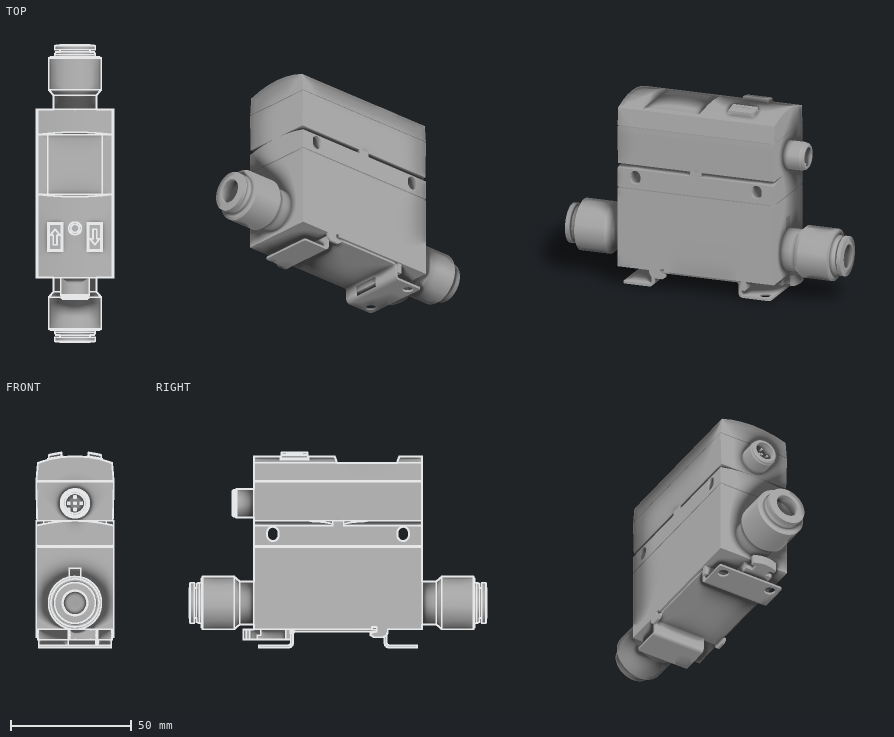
import cadquery as cq
import math


housing_length = 70.0
half_length = housing_length / 2
half_width = 16.15
lower_edge_z = 43.2
lower_top_z = 45.2
upper_half_width = 15.78
widest_bottom_z = 59.3
widest_top_z = 61.4
shoulder_z = 69.3
shoulder_half_width = 15.5
crown_top_z = 72.0
seam_z = 34.3
seam_height = 0.6
cover_seam_height = 0.4
seam_depth = 0.2

spacer_y = 0.1
spacer_length = 4.7
flare_start_x = 13.0
flare_middle = (9.3, 5.7)
flare_end = (5.6, 11.8)

slot_y = 27.1
slot_z = 39.7
slot_width = 4.7
slot_height = 5.8

display_floor_z = shoulder_z
display_back_y = 24.5
display_front_y = -0.4
display_slope_run = 1.0
display_width = 22.8
display_inset = 0.1

button_x = 8.3
button_y = -18.1
button_width = 5.5
button_length = 11.1
button_rise = 2.0
button_rim = 0.2
button_lip = 0.4
arrow_length = 6.4
arrow_head_width = 4.0
arrow_head_length = 2.5
arrow_shaft_width = 1.6
mark_depth = 0.2
cutter_height = 1.2
status_ring_y = -14.5
status_ring_outer = 5.2
status_ring_inner = 3.5

fitting_z = 11.0
neck_diameter = 18.0
fitting_diameter = 22.0
fitting_mouth_diameter = 20.0
release_diameter = 17.0
sleeve_diameter = 12.6
tube_diameter = 10.5
fitting_end_y = 61.9
cone_start_y = 40.9
barrel_start_y = 43.2
barrel_end_y = 56.8
collar_rounding_y = 57.8
collar_end_y = 58.9
flange_start_y = 59.8
flange_edge_y = 61.5
collar_rounding = 0.5
tube_depth = 5.2
tube_mouth_chamfer = 0.2

label_width = 5.0
label_top_z = 25.4
label_bottom_z = 19.8

plug_z = 52.5
plug_diameter = 12.0
plug_groove_diameter = 11.3
plug_mouth_diameter = 10.0
plug_bore = 8.3
plug_end_y = -44.0
plug_shoulder_y = -42.1
plug_neck_y = -42.8
plug_bore_depth = 7.4
contact_diameter = 1.0
contact_length = 5.0
contact_pitch = 2.6

sheet = 1.0
foot_half_length = 32.9
bracket_half_width = 15.1
foot_bottom_z = -7.5
leg_back_y = 20.3
leg_front_y = -19.7
bend_inner_radius = 1.0
foot_corner_radius = 0.9
tongue_left_x = -2.8
tongue_right_x = 9.5
back_leg_right_x = 8.8
foot_hole_x = 11.3
foot_hole_y = 29.2
foot_hole_diameter = 4.6
pick_margin = 0.1

hook_bottom_z = -3.3
hook_back_y = 20.8
hook_tip_y = 13.5
hook_root_z = 0.6
throat_back_y = 16.1
throat_front_y = 14.2
throat_depth = 1.0

clip_bottom_z = -4.2
clip_half_width = 15.5
clip_bar_front_y = -21.7
neck_start_y = -32.2
neck_end_y = -36.6
finger_side_y = -38.3
finger_tip_y = -39.5
finger_narrowing = 0.7
clip_neck_inset = 3.0
stop_length = 1.5
stop_height = 1.9


def box(x0, x1, y0, y1, z0, z1):
    """Axis-aligned block between two opposite corners."""
    return cq.Workplane("XY").box(x1 - x0, y1 - y0, z1 - z0, centered=False).translate((x0, y0, z0))


def along_y(profile, length):
    """Extrude a closed XZ profile symmetrically about its plane."""
    return profile.extrude(length / 2, both=True)


def seam_groove(half_size, bottom_z, height):
    """Shallow groove running around the housing."""
    top_z = bottom_z + height
    outer = box(-half_size - 1.2, half_size + 1.2, -half_length - 1.2, half_length + 1.2, bottom_z, top_z)
    inner_x = half_size - seam_depth
    inner_y = half_length - seam_depth
    return outer.cut(box(-inner_x, inner_x, -inner_y, inner_y, bottom_z, top_z))


def crown_height(x):
    """Height of the crowned cover at a distance x from the middle."""
    rise = crown_top_z - shoulder_z
    radius = (shoulder_half_width**2 + rise**2) / (2 * rise)
    return crown_top_z - radius + math.sqrt(radius**2 - x**2)


def make_spacer():
    """Bridge between the lower and upper blocks that flares out towards the middle."""
    half = spacer_length / 2
    spacer = (
        cq.Workplane("XY", origin=(0, spacer_y, seam_z + seam_height))
        .moveTo(half_width, -half)
        .lineTo(half_width, half)
        .lineTo(flare_start_x, half)
        .threePointArc(flare_middle, flare_end)
        .lineTo(-flare_end[0], flare_end[1])
        .threePointArc((-flare_middle[0], flare_middle[1]), (-flare_start_x, half))
        .lineTo(-half_width, half)
        .lineTo(-half_width, -half)
        .lineTo(-flare_start_x, -half)
        .threePointArc((-flare_middle[0], -flare_middle[1]), (-flare_end[0], -flare_end[1]))
        .lineTo(flare_end[0], -flare_end[1])
        .threePointArc((flare_middle[0], -flare_middle[1]), (flare_start_x, -half))
        .close()
    )
    return spacer.extrude(lower_top_z - seam_z - seam_height)


def make_lower_block():
    """Lower block with a crowned top, the spacer and the mounting slots."""
    profile = (
        cq.Workplane("XZ")
        .moveTo(-half_width, 0)
        .lineTo(half_width, 0)
        .lineTo(half_width, lower_edge_z)
        .threePointArc((0, lower_top_z), (-half_width, lower_edge_z))
        .close()
    )
    block = along_y(profile, housing_length).union(make_spacer())
    slots = (
        cq.Workplane("YZ")
        .pushPoints([(-slot_y, slot_z), (slot_y, slot_z)])
        .slot2D(slot_height, slot_width, 90)
        .extrude(half_width, both=True)
    )
    return block.cut(slots).cut(seam_groove(half_width, seam_z, seam_height))


def make_upper_block():
    """Upper block with tapered sides and a crowned cover."""
    profile = (
        cq.Workplane("XZ")
        .moveTo(-upper_half_width, lower_top_z)
        .lineTo(upper_half_width, lower_top_z)
        .lineTo(half_width, widest_bottom_z)
        .lineTo(half_width, widest_top_z)
        .lineTo(shoulder_half_width, shoulder_z)
        .threePointArc((0, crown_top_z), (-shoulder_half_width, shoulder_z))
        .lineTo(-half_width, widest_top_z)
        .lineTo(-half_width, widest_bottom_z)
        .close()
    )
    block = along_y(profile, housing_length)
    return block.cut(seam_groove(half_width, widest_top_z, cover_seam_height))


def make_display_recess():
    """Recess across the crown with sloped ends, and the display window in its floor."""
    recess = (
        cq.Workplane("YZ")
        .moveTo(display_front_y, display_floor_z)
        .lineTo(display_back_y, display_floor_z)
        .lineTo(display_back_y + display_slope_run, crown_top_z)
        .lineTo(display_front_y - display_slope_run, crown_top_z)
        .close()
        .extrude(half_width, both=True)
    )
    window = box(
        -display_width / 2, display_width / 2,
        display_front_y, display_back_y,
        display_floor_z - display_inset, display_floor_z,
    )
    return recess.union(window)


def sloped_block(side, inner_x, outer_x, inner_z, outer_z, length):
    """Block on one side of the crown, with a top that slopes down outwards."""
    profile = (
        cq.Workplane("XZ", origin=(0, button_y, 0))
        .moveTo(side * inner_x, display_floor_z)
        .lineTo(side * outer_x, display_floor_z)
        .lineTo(side * outer_x, outer_z)
        .lineTo(side * inner_x, inner_z)
        .close()
    )
    return along_y(profile, length)


def make_arrow(forward):
    """Arrow-shaped cutter pointing along +Y or -Y."""
    tail_y = -forward * arrow_length / 2
    neck_y = forward * (arrow_length / 2 - arrow_head_length)
    return (
        cq.Workplane("XY")
        .moveTo(-arrow_shaft_width / 2, tail_y)
        .lineTo(arrow_shaft_width / 2, tail_y)
        .lineTo(arrow_shaft_width / 2, neck_y)
        .lineTo(arrow_head_width / 2, neck_y)
        .lineTo(0, forward * arrow_length / 2)
        .lineTo(-arrow_head_width / 2, neck_y)
        .lineTo(-arrow_shaft_width / 2, neck_y)
        .close()
        .extrude(cutter_height)
    )


def make_button(side):
    """Button that follows the crown; its arrow points to +Y on the left and to -Y on the right."""
    inner_x = button_x - button_width / 2
    outer_x = button_x + button_width / 2
    inner_z = crown_height(inner_x) + button_rise
    outer_z = crown_height(outer_x) + button_rise
    button = sloped_block(side, inner_x, outer_x, inner_z, outer_z, button_length)
    button = button.faces(">Z").chamfer(button_rim)
    lip_drop = button_rise - button_lip
    lip = sloped_block(
        side,
        inner_x - button_lip, outer_x + button_lip,
        inner_z - lip_drop, outer_z - lip_drop,
        button_length + 2 * button_lip,
    )
    tilt = math.degrees(math.atan2(inner_z - outer_z, button_width))
    middle_z = (inner_z + outer_z) / 2
    arrow = make_arrow(-side).translate((0, 0, -mark_depth)).rotate((0, 0, 0), (0, 1, 0), side * tilt)
    return button.union(lip).cut(arrow.translate((side * button_x, button_y, middle_z)))


def make_status_ring():
    """Ring-shaped cutter for the groove around the status light."""
    return (
        cq.Workplane("XY", origin=(0, status_ring_y, crown_top_z - mark_depth))
        .circle(status_ring_outer / 2)
        .circle(status_ring_inner / 2)
        .extrude(cutter_height)
    )


def make_fitting():
    """Push-in fitting on the back (+Y) end, turned about its own axis."""
    mouth_chamfer = (fitting_diameter - fitting_mouth_diameter) / 2
    bore_radius = tube_diameter / 2 - tube_mouth_chamfer
    outline = (
        cq.Workplane("XY")
        .moveTo(0, half_length - seam_depth)
        .lineTo(neck_diameter / 2, half_length - seam_depth)
        .lineTo(neck_diameter / 2, cone_start_y)
        .lineTo(fitting_diameter / 2, barrel_start_y)
        .lineTo(fitting_diameter / 2, barrel_end_y - mouth_chamfer / 2)
        .lineTo(fitting_mouth_diameter / 2, barrel_end_y)
        .lineTo(release_diameter / 2, barrel_end_y)
        .lineTo(release_diameter / 2, collar_rounding_y)
        .lineTo(release_diameter / 2 - collar_rounding, collar_end_y)
        .lineTo(sleeve_diameter / 2, collar_end_y)
        .lineTo(sleeve_diameter / 2, flange_start_y)
        .lineTo(release_diameter / 2, flange_start_y)
        .lineTo(release_diameter / 2, flange_edge_y)
        .lineTo(tube_diameter / 2, fitting_end_y)
        .lineTo(bore_radius, fitting_end_y - tube_mouth_chamfer)
        .lineTo(bore_radius, fitting_end_y - tube_depth)
        .lineTo(0, fitting_end_y - tube_depth)
        .close()
    )
    return outline.revolve(360, (0, 0, 0), (0, 1, 0)).translate((0, 0, fitting_z))


def make_plug():
    """Connector barrel on the front face, with five contacts and a key on its bore floor."""
    rim_step = (plug_groove_diameter - plug_mouth_diameter) / 2
    floor_y = plug_end_y + plug_bore_depth
    barrel = (
        cq.Workplane("XY")
        .moveTo(0, -half_length + seam_depth)
        .lineTo(plug_diameter / 2, -half_length + seam_depth)
        .lineTo(plug_diameter / 2, plug_shoulder_y)
        .lineTo(plug_groove_diameter / 2, plug_neck_y)
        .lineTo(plug_groove_diameter / 2, plug_end_y + rim_step)
        .lineTo(plug_mouth_diameter / 2, plug_end_y)
        .lineTo(plug_bore / 2, plug_end_y)
        .lineTo(plug_bore / 2, floor_y)
        .lineTo(0, floor_y)
        .close()
        .revolve(360, (0, 0, 0), (0, 1, 0))
    )
    p = contact_pitch
    contacts = (
        cq.Workplane("XZ", origin=(0, floor_y, 0))
        .pushPoints([(0, 0), (p, 0), (-p, 0), (0, p), (0, -p)])
        .circle(contact_diameter / 2)
        .extrude(contact_length)
    )
    key = (
        cq.Workplane("XZ", origin=(0, floor_y, 0))
        .center(-p, -p)
        .circle(contact_diameter / 2)
        .extrude(plug_bore_depth)
    )
    return barrel.union(contacts).union(key).translate((0, 0, plug_z))


def make_hook(side):
    """Hook outside one edge of the bracket plate."""
    hook = (
        cq.Workplane("YZ", origin=(side * bracket_half_width, 0, 0))
        .moveTo(hook_back_y, hook_root_z)
        .lineTo(hook_back_y, -1.0)
        .threePointArc((20.0, -2.5), (18.8, hook_bottom_z))
        .lineTo(15.0, hook_bottom_z)
        .lineTo(hook_tip_y, -2.4)
        .lineTo(hook_tip_y, -1.4)
        .lineTo(throat_back_y - 0.4, -sheet)
        .lineTo(throat_back_y, -0.6)
        .lineTo(throat_back_y, hook_root_z)
        .close()
    )
    return hook.extrude(side * (half_width - bracket_half_width))


def make_housing():
    """Sensor housing with its fittings, connector, buttons and hooks."""
    throat = box(-half_width, half_width, throat_front_y, throat_back_y, 0, throat_depth)
    label = box(
        -label_width / 2, label_width / 2,
        -half_length, -half_length + seam_depth,
        label_bottom_z, label_top_z,
    )
    body = make_lower_block().union(make_upper_block())
    body = body.cut(make_display_recess()).cut(make_status_ring()).cut(label).cut(throat)
    fitting = make_fitting()
    body = body.union(fitting).union(fitting.mirror("XZ")).union(make_plug())
    for side in (-1, 1):
        body = body.union(make_button(side)).union(make_hook(side))
    return body


def round_bends(sheet_body, corners, radius):
    """Fillet the bend edges that run along X through the given (y, z) corners."""
    for y, z in corners:
        low = (-half_width, y - pick_margin, z - pick_margin)
        high = (half_width, y + pick_margin, z + pick_margin)
        sheet_body = sheet_body.edges(cq.selectors.BoxSelector(low, high)).fillet(radius)
    return sheet_body


def make_bracket():
    """Hat-shaped sheet with a slotted front leg and a narrower back leg."""
    foot_top_z = foot_bottom_z + sheet
    front_inside_y = leg_front_y + sheet
    back_inside_y = leg_back_y - sheet
    body = (
        cq.Workplane("YZ")
        .moveTo(leg_front_y, 0)
        .lineTo(leg_back_y, 0)
        .lineTo(leg_back_y, foot_top_z)
        .lineTo(foot_half_length, foot_top_z)
        .lineTo(foot_half_length, foot_bottom_z)
        .lineTo(back_inside_y, foot_bottom_z)
        .lineTo(back_inside_y, -sheet)
        .lineTo(front_inside_y, -sheet)
        .lineTo(front_inside_y, foot_bottom_z)
        .lineTo(-foot_half_length, foot_bottom_z)
        .lineTo(-foot_half_length, foot_top_z)
        .lineTo(leg_front_y, foot_top_z)
        .close()
        .extrude(bracket_half_width, both=True)
    )
    inner_corners = [
        (front_inside_y, -sheet), (back_inside_y, -sheet),
        (leg_front_y, foot_top_z), (leg_back_y, foot_top_z),
    ]
    outer_corners = [
        (leg_front_y, 0), (leg_back_y, 0),
        (front_inside_y, foot_bottom_z), (back_inside_y, foot_bottom_z),
    ]
    body = round_bends(body, inner_corners, bend_inner_radius)
    body = round_bends(body, outer_corners, bend_inner_radius + sheet)
    tongue_slot = box(
        tongue_left_x, tongue_right_x,
        leg_front_y - bend_inner_radius, front_inside_y,
        foot_top_z, 0,
    )
    back_cut = box(
        back_leg_right_x, bracket_half_width,
        leg_back_y - 2.5, foot_half_length,
        foot_bottom_z, -sheet,
    )
    holes = (
        cq.Workplane("XY", origin=(0, 0, foot_bottom_z))
        .pushPoints([(-foot_hole_x, -foot_hole_y), (foot_hole_x, -foot_hole_y)])
        .circle(foot_hole_diameter / 2)
        .extrude(sheet)
    )
    body = body.cut(tongue_slot).cut(back_cut).cut(holes)
    return body.edges("|Z").edges("<Y or >Y").fillet(foot_corner_radius)


def make_clip():
    """T-shaped latch: a cross bar against the bracket leg and a stem ending in a rounded finger tip."""
    finger_middle_x = (tongue_left_x + tongue_right_x) / 2
    tip_left_x = tongue_left_x + finger_narrowing
    tip_right_x = tongue_right_x - finger_narrowing
    body = (
        cq.Workplane("XY", origin=(0, 0, clip_bottom_z))
        .moveTo(-clip_half_width, leg_front_y)
        .lineTo(-clip_half_width, clip_bar_front_y)
        .lineTo(tongue_left_x, clip_bar_front_y)
        .lineTo(tongue_left_x, neck_start_y)
        .lineTo(tongue_left_x + clip_neck_inset, neck_start_y)
        .lineTo(tongue_left_x + clip_neck_inset, neck_end_y)
        .lineTo(tip_left_x, neck_end_y)
        .lineTo(tip_left_x, finger_side_y)
        .threePointArc((finger_middle_x, finger_tip_y), (tip_right_x, finger_side_y))
        .lineTo(tip_right_x, neck_end_y)
        .lineTo(tongue_right_x - clip_neck_inset, neck_end_y)
        .lineTo(tongue_right_x - clip_neck_inset, neck_start_y)
        .lineTo(tongue_right_x, neck_start_y)
        .lineTo(tongue_right_x, clip_bar_front_y)
        .lineTo(clip_half_width, clip_bar_front_y)
        .lineTo(clip_half_width, leg_front_y)
        .close()
        .extrude(-clip_bottom_z)
    )
    stop = box(
        tongue_left_x, tongue_right_x,
        neck_start_y - stop_length, neck_start_y,
        clip_bottom_z, clip_bottom_z + stop_height,
    )
    return body.union(stop)


housing = make_housing()
bracket = make_bracket()
clip = make_clip()
result = cq.Compound.makeCompound([housing.val(), bracket.val(), clip.val()])